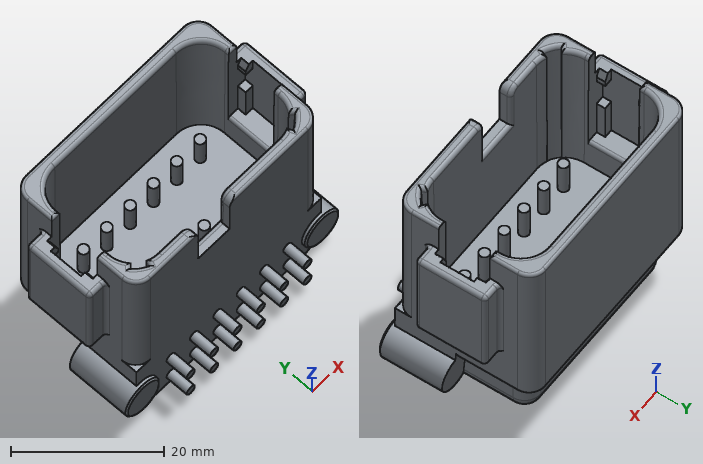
import cadquery as cq
import math


shell_width = 35.25
shell_depth = 22.2
top_z = 34.3
shell_bottom_z = 8.27
corner_radius = 2.6
rim_round = 0.45
shell_bottom_round = 0.65
square_corner_top_z = 11.3

floor_z = 11.3
floor_width = 31.95
floor_front_y = 1.95
floor_back_y = 20.25
floor_corner_radius = 4.4
wall_taper = 0.12
mouth_round = 0.65

foot_width = 30.45
foot_back_y = 19.75
foot_corner_radius = 2.58
foot_bottom_round = 2.55
plate_half_width = 14.68
plate_thickness = 1.55

post_radius = 3.2
post_x = 17.1
post_z = 4.3
post_front_y = -0.75
post_chamfer = 0.25
slant_top = (9.77, 8.95)
slant_bottom = (9.1, 0.0)

latch_outer_x = 20.8
latch_width = 11.23
latch_bottom_z = 14.8
latch_top_z = 29.6
latch_round = 0.65
latch_root_fillet = 0.62
side_center_y = shell_depth / 2
pocket_width = 8.15
pocket_front_y = side_center_y - pocket_width / 2
pocket_back_y = side_center_y + pocket_width / 2
pocket_outer_x = 19.25
pocket_sill_round = 0.5
pocket_floor_z = latch_bottom_z + latch_outer_x - pocket_outer_x

tab_inner_x = 17.9
tab_width = 1.37
tab_height = 2.15
tab_bevel_x = 0.62
tab_bevel_z = 1.25
lower_tab_top_z = 22.58

notch_center_x = -2.85
notch_width = 6.0
notch_bottom_z = 26.9
notch_mouth_radius = 1.5

groove_inner_radius = 3.58
groove_top_radius = 5.4
groove_bottom_radius = 4.45
groove_start_angle = 40
groove_end_angle = 66

pin_radius = 0.8
pin_pitch = 4.45
pin_columns = 6
board_pin_rows_z = (2.05, 2.05 + pin_pitch)
board_pin_length = 3.6
mating_pin_rows_y = (6.53, 15.6)
mating_pin_top_z = 16.5


def box(x_min, x_max, y_min, y_max, z_min, z_max):
    """Box given by its limits along each axis."""
    size = (x_max - x_min, y_max - y_min, z_max - z_min)
    return cq.Workplane("XY").box(*size, centered=False).translate((x_min, y_min, z_min))


def both_sides(solid):
    """The solid joined with its mirror image across the YZ plane."""
    return solid.union(solid.mirror("YZ"))


def make_shell():
    half_width = shell_width / 2
    shell = box(-half_width, half_width, 0, shell_depth, shell_bottom_z, top_z)
    shell = shell.edges("|Z").fillet(corner_radius)
    shell = shell.faces(">Z").edges().fillet(rim_round)
    return shell.faces("<Z").edges().fillet(shell_bottom_round)


def make_foot():
    half_width = foot_width / 2
    foot = box(-half_width, half_width, 0, foot_back_y, 0, floor_z)
    foot = foot.edges("|Z and >Y").fillet(foot_corner_radius)
    return foot.faces("<Z").edges("not <Y").fillet(foot_bottom_round)


def make_front_plate():
    """Thin plate whose lower corners slope from the posts to the bottom edge, tangent to the posts."""
    run = post_x - plate_half_width
    reach = math.hypot(run, post_z)
    angle = math.atan2(post_z, run) + math.acos(post_radius / reach)
    tangent_x = post_x - post_radius * math.cos(angle)
    tangent_z = post_z - post_radius * math.sin(angle)
    outline = [
        (plate_half_width, 0),
        (tangent_x, tangent_z),
        (post_x, post_z),
        (-post_x, post_z),
        (-tangent_x, tangent_z),
        (-plate_half_width, 0),
    ]
    return cq.Workplane("XZ").polyline(outline).close().extrude(-plate_thickness)


def make_shoulders_and_posts():
    """Square shoulders and the two posts, all ending at the slanted rear face."""
    half_width = shell_width / 2
    shoulders = box(-half_width, half_width, 0, slant_top[0], post_z, square_corner_top_z)
    post_length = slant_top[0] - post_front_y
    post = (
        cq.Workplane("XZ", origin=(post_x, post_front_y, post_z))
        .circle(post_radius)
        .extrude(-post_length)
        .faces("<Y")
        .chamfer(post_chamfer)
    )
    slant_limit = (
        cq.Workplane("YZ")
        .polyline([
            (post_front_y, 0),
            slant_bottom,
            slant_top,
            (slant_top[0], square_corner_top_z),
            (post_front_y, square_corner_top_z),
        ])
        .close()
        .extrude(latch_outer_x, both=True)
    )
    return shoulders.union(both_sides(post)).intersect(slant_limit)


def make_latch_housings():
    """Rounded housings with concave root fillets, each on a flange buried in the shell wall."""
    half_width = latch_width / 2
    root_x = shell_width / 2
    flare = latch_root_fillet
    flange_half_width = half_width + 2 * flare
    flange_inner_x = root_x - 2 * flare
    housing = (
        cq.Workplane("XY", origin=(0, side_center_y, latch_bottom_z))
        .moveTo(flange_inner_x, -flange_half_width)
        .lineTo(root_x, -flange_half_width)
        .lineTo(root_x, -half_width - flare)
        .radiusArc((root_x + flare, -half_width), flare)
        .lineTo(latch_outer_x, -half_width)
        .lineTo(latch_outer_x, half_width)
        .lineTo(root_x + flare, half_width)
        .radiusArc((root_x, half_width + flare), flare)
        .lineTo(root_x, flange_half_width)
        .lineTo(flange_inner_x, flange_half_width)
        .close()
        .extrude(latch_top_z - latch_bottom_z)
    )
    rounded_edges = "(#Z or >X) and (not <X) and (not <Y) and (not >Y)"
    return both_sides(housing.edges(rounded_edges).fillet(latch_round))


def make_cavity():
    depth = top_z - floor_z
    draft = math.degrees(math.atan(wall_taper / depth))
    center_y = (floor_front_y + floor_back_y) / 2
    return (
        cq.Workplane("XY")
        .sketch()
        .rect(floor_width, floor_back_y - floor_front_y)
        .vertices()
        .fillet(floor_corner_radius)
        .finalize()
        .extrude(depth, taper=-draft)
        .translate((0, center_y, floor_z))
    )


def make_side_pockets():
    """Side openings in the shell together with the pockets behind the latch housings."""
    inner_x = floor_width / 2 - wall_taper
    pocket = (
        cq.Workplane("YZ", origin=(inner_x, 0, 0))
        .moveTo(pocket_front_y, pocket_floor_z)
        .lineTo(pocket_back_y, pocket_floor_z)
        .lineTo(pocket_back_y, top_z - rim_round)
        .radiusArc((pocket_back_y + rim_round, top_z), rim_round)
        .lineTo(pocket_front_y, top_z)
        .close()
        .extrude(pocket_outer_x - inner_x)
    )
    return both_sides(pocket)


def make_guide_tabs():
    upper_profile = [
        (tab_inner_x, latch_top_z - tab_height),
        (pocket_outer_x, latch_top_z - tab_height),
        (pocket_outer_x, latch_top_z),
        (tab_inner_x + tab_bevel_x, latch_top_z),
        (tab_inner_x, latch_top_z - tab_bevel_z),
    ]
    tabs = cq.Workplane("XY")
    for start_y in (pocket_front_y, pocket_back_y - tab_width):
        upper = cq.Workplane("XZ", origin=(0, start_y, 0)).polyline(upper_profile).close().extrude(-tab_width)
        lower = box(tab_inner_x, pocket_outer_x, start_y, start_y + tab_width,
                    pocket_floor_z, lower_tab_top_z)
        tabs = tabs.union(upper).union(lower)
    return both_sides(tabs)


def make_notch():
    left_x = notch_center_x - notch_width / 2
    right_x = notch_center_x + notch_width / 2
    radius = notch_mouth_radius
    return (
        cq.Workplane("XZ")
        .moveTo(left_x, notch_bottom_z)
        .lineTo(right_x, notch_bottom_z)
        .lineTo(right_x, top_z - radius)
        .radiusArc((right_x + radius, top_z), radius)
        .lineTo(left_x - radius, top_z)
        .radiusArc((left_x, top_z - radius), radius)
        .close()
        .extrude(-floor_corner_radius)
    )


def make_key_grooves():
    """Conical grooves that run down the two front cavity corners and nearly fade out at the floor."""
    center_x = floor_width / 2 - floor_corner_radius
    center_y = floor_front_y + floor_corner_radius
    groove = (
        cq.Workplane("XZ")
        .moveTo(groove_inner_radius, floor_z)
        .lineTo(groove_bottom_radius, floor_z)
        .lineTo(groove_top_radius, top_z)
        .lineTo(groove_inner_radius, top_z)
        .close()
        .revolve(groove_end_angle - groove_start_angle, (0, 0, 0), (0, 1, 0))
        .rotate((0, 0, 0), (0, 0, 1), -groove_end_angle)
        .translate((center_x, center_y, 0))
    )
    return both_sides(groove)


def make_pins():
    columns_x = [(i - (pin_columns - 1) / 2) * pin_pitch for i in range(pin_columns)]
    board_points = [(x, z) for x in columns_x for z in board_pin_rows_z]
    mating_points = [(x, y) for x in columns_x for y in mating_pin_rows_y]
    board_pins = (
        cq.Workplane("XZ", origin=(0, pin_radius, 0))
        .pushPoints(board_points)
        .circle(pin_radius)
        .extrude(board_pin_length + pin_radius)
    )
    mating_pins = (
        cq.Workplane("XY", origin=(0, 0, floor_z - pin_radius))
        .pushPoints(mating_points)
        .circle(pin_radius)
        .extrude(mating_pin_top_z - floor_z + pin_radius)
    )
    return board_pins.union(mating_pins)


def round_cavity_mouth(body):
    """Round the inner rim of the cavity, including the inner edge of the notch."""
    rim_margin = 1.2 * rim_round
    tolerance = 0.05
    mouth_region = cq.selectors.BoxSelector(
        (-shell_width / 2 + rim_margin, rim_margin, top_z - tolerance),
        (shell_width / 2 - rim_margin, shell_depth - rim_margin, top_z + tolerance),
        boundingbox=True,
    )
    notch_region = cq.selectors.BoxSelector(
        (notch_center_x - notch_width, rim_margin, notch_bottom_z - tolerance),
        (notch_center_x + notch_width, floor_front_y + tolerance, top_z + tolerance),
        boundingbox=True,
    )
    return body.edges(mouth_region + notch_region).fillet(mouth_round)


def round_pocket_sills(body):
    """Round the inner edges of the pocket floors where they drop into the cavity."""
    search_margin = 0.4
    wall_x = floor_width / 2
    for side in (-1, 1):
        sill_region = cq.selectors.BoxSelector(
            (side * (wall_x - search_margin), pocket_front_y, pocket_floor_z - search_margin),
            (side * (wall_x + search_margin), pocket_back_y, pocket_floor_z + search_margin),
        )
        body = body.edges("|Y").edges(sill_region).fillet(pocket_sill_round)
    return body


body = make_shell().union(make_foot()).union(make_front_plate())
body = body.union(make_shoulders_and_posts()).union(make_latch_housings())
body = body.cut(make_cavity()).cut(make_notch()).cut(make_key_grooves())
body = round_cavity_mouth(body).cut(make_side_pockets())
body = round_pocket_sills(body)
result = body.union(make_guide_tabs()).union(make_pins())